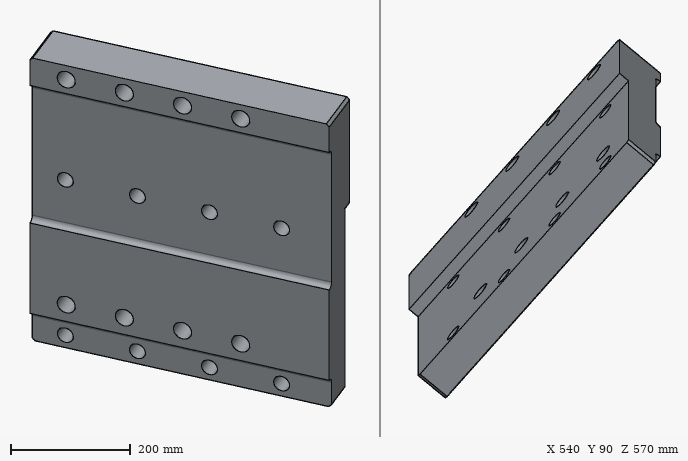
import cadquery as cq

width = 540.0
thickness = 90.0
height = 570.0
corner_chamfer = 5.0

back_step_depth = 20.0
upper_block_height = 210.0

front_step_depth = 10.0
step_fillet = 9.5
top_band_height = 56.0
middle_band_bottom = 60.0
middle_band_top = 240.0

holes_per_row = 4
large_hole_diameter = 32.5
large_hole_start = 65.5
large_hole_pitch = 105.0
large_hole_heights = (93.5, 542.0)
small_hole_diameter = 28.5
small_hole_start = 60.0
small_hole_pitch = 130.0
small_hole_heights = (25.0, 334.5)


def front_recess(bottom, top):
    """Full-width strip to remove from the front face."""
    return cq.Workplane("XY").box(
        width, front_step_depth, top - bottom, centered=False
    ).translate((0, 0, bottom))


def hole_row(diameter, start, pitch, hole_height):
    """Cylinders for one evenly spaced row of through holes along X."""
    centers = [(start + i * pitch, hole_height) for i in range(holes_per_row)]
    return (
        cq.Workplane("XZ")
        .pushPoints(centers)
        .circle(diameter / 2)
        .extrude(-thickness)
    )


plate = (
    cq.Workplane("XY")
    .box(width, thickness, height, centered=False)
    .edges("|Y")
    .chamfer(corner_chamfer)
)

back_recess = (
    cq.Workplane("XY")
    .box(width, back_step_depth, height - upper_block_height, centered=False)
    .translate((0, thickness - back_step_depth, 0))
)
plate = plate.cut(back_recess)

upper_recess = (
    front_recess(middle_band_top, height - top_band_height)
    .edges("|X and >Y")
    .fillet(step_fillet)
)
lower_recess = (
    front_recess(0, middle_band_bottom)
    .edges("|X and >Y and >Z")
    .fillet(step_fillet)
)
plate = plate.cut(upper_recess).cut(lower_recess)

for row_height in large_hole_heights:
    plate = plate.cut(hole_row(large_hole_diameter, large_hole_start, large_hole_pitch, row_height))
for row_height in small_hole_heights:
    plate = plate.cut(hole_row(small_hole_diameter, small_hole_start, small_hole_pitch, row_height))

result = plate